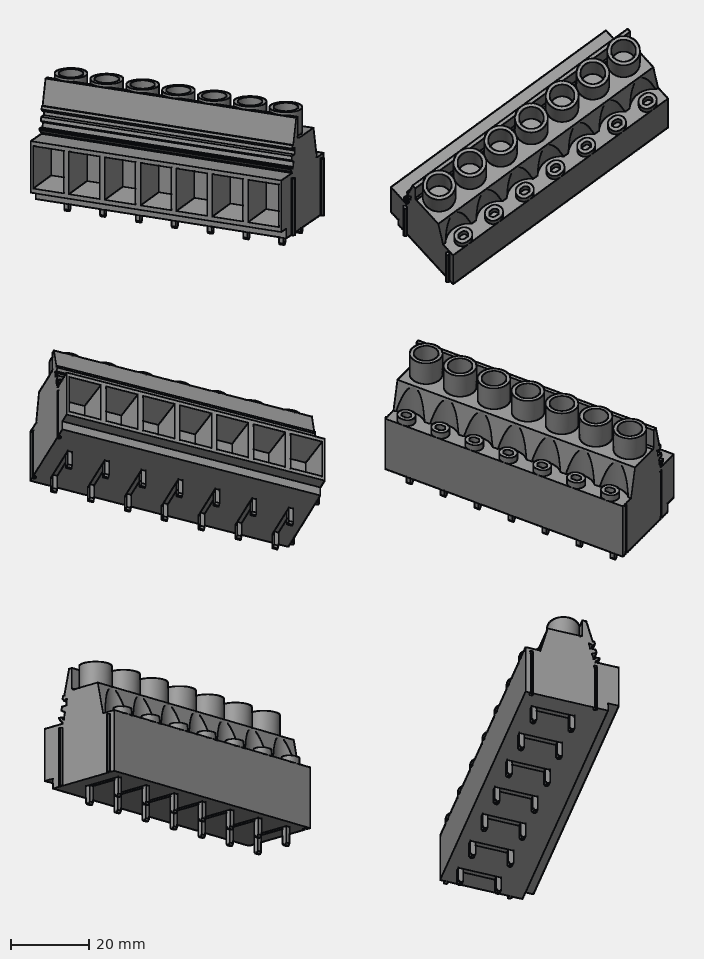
import cadquery as cq

overall_length = 71.9
pole_count = 7
housing_length = 71.05
pole_pitch = housing_length / pole_count
pole_centers = [(i + 0.5) * pole_pitch for i in range(pole_count)]

housing_depth = 25.1
toe_setback = 2.95
toe_height = 2.65
front_shelf_z = 16.6
rear_shelf_z = 16.25
middle_shelf_z = 24.9
wall_top_z = 30.8
rear_slope_bottom_y = 21.1
rear_slope_top_y = 19.1
wall_back_y = 9.85
wall_top_front_y = 8.8
wall_root_bevel = 0.4

scallop_radius = 5.9

funnel_y = 13.3
funnel_top_z = 31.6
funnel_outer_diameter = 8.4
funnel_bore_diameter = 6.3

boss_width = 4.2
boss_bore_width = 2.0
boss_stretch = 0.65
boss_top_z = 18.1
boss_y = housing_depth - boss_width / 2

entry_width = 8.7
entry_height = 11.5
entry_inner_width = 6.05
entry_inner_height = 8.9
entry_bottom_z = 3.9
entry_depth = 7.9
entry_center_z = entry_bottom_z + entry_height / 2

rib_neck_width = 0.6
rib_belly_width = 1.1
rib_crest_width = 0.5
rib_height = 15.3
rib_reach = overall_length - housing_length
rib_belly_reach = 0.5
rib_ys = [6.25, 23.45]

leg_thickness = 1.2
leg_width = 1.4
leg_length = 4.95
leg_tip_width = 0.5
leg_tip_height = 0.6
front_leg_y = 11.15
rear_leg_y = 21.35
bar_height = 1.3


def make_profile_block():
    """Side profile of the housing with the lips of its front slope, swept along X."""
    return (
        cq.Workplane("YZ")
        .moveTo(housing_depth, 0)
        .lineTo(toe_setback, 0)
        .lineTo(toe_setback, toe_height)
        .lineTo(0, toe_height)
        .lineTo(0, front_shelf_z)
        .lineTo(6.3, front_shelf_z)
        .lineTo(6.25, 17.0)
        .lineTo(5.25, 18.0)
        .lineTo(5.1, 18.4)
        .lineTo(6.2, 18.4)
        .lineTo(6.6, 17.7)
        .lineTo(6.8, 17.7)
        .lineTo(7.25, 19.4)
        .lineTo(6.0, 20.2)
        .lineTo(6.25, 21.2)
        .lineTo(7.8, 21.2)
        .lineTo(8.05, 22.9)
        .lineTo(7.8, 22.95)
        .lineTo(7.05, 22.5)
        .lineTo(6.4, 23.2)
        .lineTo(6.6, 24.0)
        .lineTo(7.05, 24.0)
        .lineTo(wall_top_front_y, wall_top_z)
        .lineTo(wall_back_y, wall_top_z)
        .lineTo(wall_back_y, middle_shelf_z + wall_root_bevel)
        .lineTo(wall_back_y + wall_root_bevel, middle_shelf_z)
        .lineTo(rear_slope_top_y, middle_shelf_z)
        .lineTo(rear_slope_bottom_y, rear_shelf_z)
        .lineTo(housing_depth, rear_shelf_z)
        .close()
        .extrude(housing_length)
    )


def make_scallop(x):
    return (
        cq.Workplane("XY", origin=(x, housing_depth, rear_shelf_z))
        .circle(scallop_radius)
        .extrude(middle_shelf_z - rear_shelf_z)
    )


def make_funnel_cylinders(diameter):
    return (
        cq.Workplane("XY", origin=(0, 0, middle_shelf_z))
        .pushPoints([(x, funnel_y) for x in pole_centers])
        .circle(diameter / 2)
        .extrude(funnel_top_z - middle_shelf_z)
    )


def make_boss_prisms(width):
    return (
        cq.Workplane("XY", origin=(0, 0, rear_shelf_z))
        .pushPoints([(x, boss_y) for x in pole_centers])
        .slot2D(width + boss_stretch, width)
        .extrude(boss_top_z - rear_shelf_z)
    )


def make_wire_entry(x):
    return (
        cq.Workplane("XZ", origin=(x, 0, entry_center_z))
        .rect(entry_width, entry_height)
        .workplane(offset=-entry_depth)
        .rect(entry_inner_width, entry_inner_height)
        .loft()
    )


def make_end_keys(end_x):
    """Keys with a narrow neck and a wider belly, pointing toward +X from the plane X = end_x."""
    keys = cq.Workplane("XY")
    for y in rib_ys:
        keys = keys.add(
            cq.Workplane("XY", origin=(end_x, y, 0))
            .moveTo(0, -rib_neck_width / 2)
            .lineTo(rib_belly_reach, -rib_belly_width / 2)
            .lineTo(rib_reach, -rib_crest_width / 2)
            .lineTo(rib_reach, rib_crest_width / 2)
            .lineTo(rib_belly_reach, rib_belly_width / 2)
            .lineTo(0, rib_neck_width / 2)
            .close()
            .extrude(rib_height)
        )
    return keys.combine()


def make_contact(x):
    """Contact of one pole: a bar flush with the underside and two legs with beveled tips."""
    bar_length = rear_leg_y - front_leg_y + leg_width
    contact = cq.Workplane("XY").box(leg_thickness, bar_length, bar_height, centered=(True, True, False))
    contact = contact.translate((x, (front_leg_y + rear_leg_y) / 2, 0))
    for y in (front_leg_y, rear_leg_y):
        leg = (
            cq.Workplane("YZ", origin=(x - leg_thickness / 2, y, 0))
            .moveTo(-leg_width / 2, 0)
            .lineTo(-leg_width / 2, leg_tip_height - leg_length)
            .lineTo(-leg_tip_width / 2, -leg_length)
            .lineTo(leg_tip_width / 2, -leg_length)
            .lineTo(leg_width / 2, leg_tip_height - leg_length)
            .lineTo(leg_width / 2, 0)
            .close()
            .extrude(leg_thickness)
        )
        contact = contact.union(leg)
    return contact.solids().val()


def make_housing(contacts):
    housing = make_profile_block()
    for x in pole_centers:
        housing = housing.cut(make_scallop(x))
    housing = housing.union(make_funnel_cylinders(funnel_outer_diameter))
    housing = housing.cut(make_funnel_cylinders(funnel_bore_diameter))
    housing = housing.union(make_boss_prisms(boss_width))
    housing = housing.cut(make_boss_prisms(boss_bore_width))
    for x in pole_centers:
        housing = housing.cut(make_wire_entry(x))
    housing = housing.union(make_end_keys(housing_length))
    housing = housing.cut(make_end_keys(0))
    for contact in contacts:
        housing = housing.cut(contact)
    return housing.solids().val()


contacts = [make_contact(x) for x in pole_centers]
housing = make_housing(contacts)

result = cq.Compound.makeCompound([housing, *contacts])